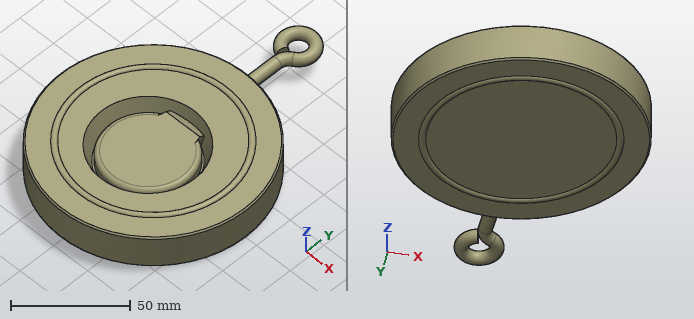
import cadquery as cq
import math

body_diameter = 109.0
body_thickness = 18.1
rim_chamfer = 0.8
body_radius = body_diameter / 2
top_z = body_thickness / 2

bead_outer_diameter = 86.0
bead_width = 3.0
bead_height = 0.83

pocket_center_y = -3.2
pocket_top_diameter = 54.4
pocket_floor_diameter = 47.1
pocket_depth = 10.0

flap_diameter = 45.3
flap_rounding = 2.4
flap_recess = 3.6
tab_width = 20.0
tab_root_width = 21.7
tab_root_start = 17.5
tab_bevel_start = 20.8
tab_bevel_angle = 28.0

overall_length = 151.0
wire_diameter = 6.0
eye_mean_radius = 7.47
eye_bend_angle = 60.0
eye_end_angle = 254.0
wire_embedding = 7.5


def make_body():
    disc = cq.Workplane("XY", origin=(0, 0, -top_z)).circle(body_radius).extrude(body_thickness)
    return disc.faces("|Z").chamfer(rim_chamfer)


def make_bead():
    """Solid ring with an arched crown above the top face and one below the bottom face."""
    outer = bead_outer_diameter / 2
    middle = outer - bead_width / 2
    inner = outer - bead_width
    crown_z = top_z + bead_height
    profile = (
        cq.Workplane("XZ")
        .moveTo(inner, -top_z)
        .lineTo(inner, top_z)
        .threePointArc((middle, crown_z), (outer, top_z))
        .lineTo(outer, -top_z)
        .threePointArc((middle, -crown_z), (inner, -top_z))
        .close()
    )
    return profile.revolve(360, (0, 0, 0), (0, 1, 0))


def make_pocket():
    """Conical cutter, wide at the top face and narrowing to the flap seat."""
    slope = (pocket_top_diameter - pocket_floor_diameter) / 2 / pocket_depth
    return (
        cq.Workplane("XY", origin=(0, pocket_center_y, top_z))
        .circle(pocket_top_diameter / 2)
        .extrude(-pocket_depth, taper=math.degrees(math.atan(slope)))
    )


def make_flap():
    """Round flap standing on the pocket floor; the tab ends inside the pocket wall."""
    floor_z = top_z - pocket_depth
    flap_top_z = top_z - flap_recess
    thickness = flap_top_z - floor_z
    disc = (
        cq.Workplane("XY", origin=(0, pocket_center_y, floor_z))
        .circle(flap_diameter / 2)
        .extrude(thickness)
        .faces(">Z")
        .edges()
        .fillet(flap_rounding)
    )
    tab_length = pocket_top_diameter / 2
    bevel_drop = (tab_length - tab_bevel_start) * math.tan(math.radians(tab_bevel_angle))
    tab = (
        cq.Workplane("XY", origin=(0, pocket_center_y, floor_z))
        .moveTo(-tab_root_width / 2, 0)
        .lineTo(-tab_root_width / 2, tab_root_start)
        .lineTo(-tab_width / 2, tab_bevel_start)
        .lineTo(-tab_width / 2, tab_length)
        .lineTo(tab_width / 2, tab_length)
        .lineTo(tab_width / 2, tab_bevel_start)
        .lineTo(tab_root_width / 2, tab_root_start)
        .lineTo(tab_root_width / 2, 0)
        .close()
        .extrude(thickness)
    )
    bevel = (
        cq.Workplane("YZ", origin=(-tab_width / 2, pocket_center_y, 0))
        .moveTo(tab_bevel_start, flap_top_z)
        .lineTo(tab_length, flap_top_z)
        .lineTo(tab_length, flap_top_z - bevel_drop)
        .close()
        .extrude(tab_width)
    )
    return disc.union(tab).cut(bevel)


def make_lifting_eye():
    """Straight shank, an offset bend with the eye's own radius, then the open eye."""
    eye_center_y = overall_length - body_radius - eye_mean_radius - wire_diameter / 2
    turn = math.radians(eye_bend_angle)
    bend_x = 2 * eye_mean_radius * math.cos(turn)
    bend_y = eye_center_y - 2 * eye_mean_radius * math.sin(turn)

    def on_arc(center_x, center_y, angle):
        a = math.radians(angle)
        return (center_x + eye_mean_radius * math.cos(a), center_y + eye_mean_radius * math.sin(a))

    shank_end = on_arc(bend_x, bend_y, 180)
    shank_start = (shank_end[0], body_radius - wire_embedding)
    bend_middle = on_arc(bend_x, bend_y, 180 - eye_bend_angle / 2)
    eye_start = on_arc(0, eye_center_y, -eye_bend_angle)
    eye_middle = on_arc(0, eye_center_y, (eye_end_angle - eye_bend_angle) / 2)
    eye_end = on_arc(0, eye_center_y, eye_end_angle)

    lead_path = cq.Workplane("XY").moveTo(*shank_start).lineTo(*shank_end)
    lead_path = lead_path.threePointArc(bend_middle, eye_start)
    lead = cq.Workplane("XZ", origin=(*shank_start, 0)).circle(wire_diameter / 2).sweep(lead_path)

    loop_path = cq.Workplane("XY").moveTo(*eye_start).threePointArc(eye_middle, eye_end)
    section_plane = cq.Plane(
        origin=(*eye_start, 0),
        xDir=(0, 0, 1),
        normal=(math.sin(turn), math.cos(turn), 0),
    )
    loop = cq.Workplane(section_plane).circle(wire_diameter / 2).sweep(loop_path)
    return lead.union(loop)


result = make_body().union(make_bead()).cut(make_pocket()).union(make_flap()).union(make_lifting_eye())